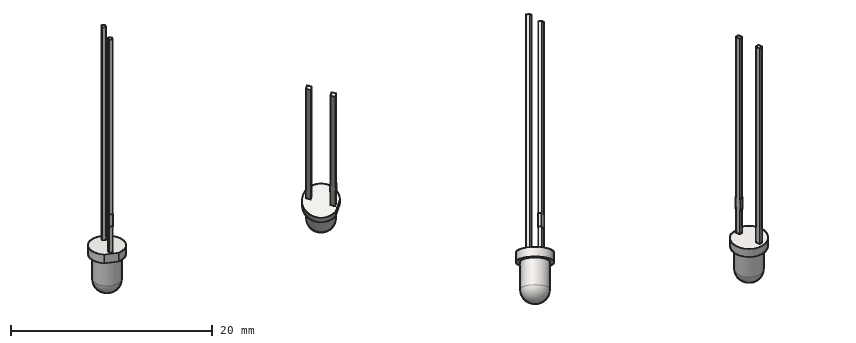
import cadquery as cq

lens_diameter = 3.0
lens_radius = lens_diameter / 2
lens_height = 5.3
flange_diameter = 3.8
flange_radius = flange_diameter / 2
flange_thickness = 1.0
flat_distance = 1.75

lead_pitch = 2.54
lead_length = 24.4
lead_depth = 0.4
lead_width = 0.5
collar_width = 0.6
collar_bottom = 3.0
collar_height = 1.4


def make_lens():
    """Barrel with a spherical dome; the flange top lies at Z = 0."""
    dome_base_z = lens_radius - lens_height
    dome = cq.Workplane("XY").sphere(lens_radius).translate((0, 0, dome_base_z))
    barrel = cq.Workplane("XY").circle(lens_radius).extrude(dome_base_z)
    return barrel.union(dome)


def make_flange():
    """Round flange cut by a flat on its +X side."""
    disc = cq.Workplane("XY").circle(flange_radius).extrude(-flange_thickness)
    flat_cutter = cq.Workplane("XY").box(
        flange_radius,
        flange_diameter,
        2 * flange_thickness,
        centered=(False, True, True),
    )
    return disc.cut(flat_cutter.translate((flat_distance, 0, 0)))


def make_bar(x, width, bottom, height):
    """Upright rectangular bar centred on the given X position."""
    bar = cq.Workplane("XY").box(width, lead_depth, height, centered=(True, True, False))
    return bar.translate((x, 0, bottom))


plain_lead = make_bar(-lead_pitch / 2, lead_width, 0, lead_length)
collared_lead = make_bar(lead_pitch / 2, lead_width, 0, lead_length)
collar = make_bar(lead_pitch / 2, collar_width, collar_bottom, collar_height)

result = make_lens().union(make_flange())
for lead_part in (plain_lead, collared_lead, collar):
    result = result.union(lead_part)